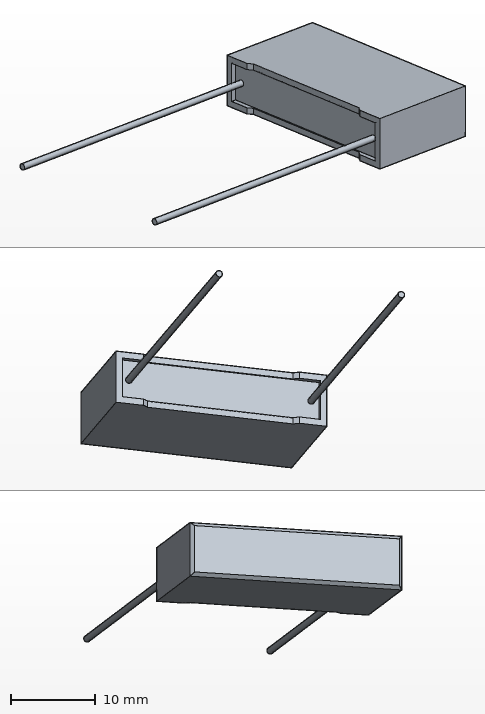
import cadquery as cq

total_length = 49.5
case_width = 26.0
case_depth = 14.4
case_height = 6.5
wall = 0.8
back_chamfer = 0.45

relief_depth = 0.45
relief_mouth_width = 19.2
relief_floor_width = 17.9

fill_recess = 0.65

lead_diameter = 0.8
lead_spacing = 22.45

cavity_width = case_width - 2 * wall
cavity_height = case_height - 2 * wall
cavity_depth = case_depth - wall
lead_tip_y = case_depth - total_length


def block(width, height, start_y, end_y):
    """Box centred on the Y axis, from start_y to end_y."""
    return cq.Workplane("XY").box(
        width, end_y - start_y, height, centered=(True, False, True)
    ).translate((0, start_y, 0))


def make_rim_relief():
    """Trapezoid with sloping ends, cut through the case along Z."""
    return (
        cq.Workplane("XY")
        .moveTo(-relief_mouth_width / 2, 0)
        .lineTo(relief_mouth_width / 2, 0)
        .lineTo(relief_floor_width / 2, relief_depth)
        .lineTo(-relief_floor_width / 2, relief_depth)
        .close()
        .extrude(case_height / 2, both=True)
    )


def make_case():
    """Box open towards -Y, with a chamfered back and a relieved rim."""
    shell = block(case_width, case_height, 0, case_depth)
    shell = shell.faces(">Y").edges().chamfer(back_chamfer)
    cavity = block(cavity_width, cavity_height, 0, cavity_depth)
    return shell.cut(cavity).cut(make_rim_relief())


def make_fill():
    """Potting block that fills the cavity behind the recess."""
    return block(cavity_width, cavity_height, fill_recess, cavity_depth)


def make_lead(center_x):
    """Straight round wire from the face of the fill to its free tip."""
    return (
        cq.Workplane("XZ", origin=(center_x, fill_recess, 0))
        .circle(lead_diameter / 2)
        .extrude(fill_recess - lead_tip_y)
    )


case = make_case()
fill = make_fill()
leads = []
for side in (-1, 1):
    leads.append(make_lead(side * lead_spacing / 2).val())

result = cq.Compound.makeCompound([case.val(), fill.val(), *leads])